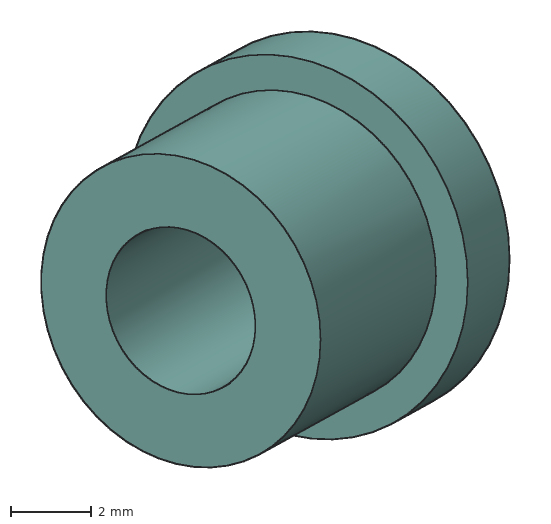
import cadquery as cq

flange_diameter = 10.0
sleeve_diameter = 8.15
bore_diameter = 4.35
total_length = 7.5
flange_thickness = 2.0
sleeve_length = total_length - flange_thickness


def cylinder_along_y(diameter, start_y, length):
    """Solid cylinder running from start_y towards +Y."""
    return cq.Workplane("XZ", origin=(0, start_y, 0)).circle(diameter / 2).extrude(-length)


sleeve_end_y = -total_length / 2
flange_face_y = sleeve_end_y + sleeve_length

sleeve = cylinder_along_y(sleeve_diameter, sleeve_end_y, sleeve_length)
flange = cylinder_along_y(flange_diameter, flange_face_y, flange_thickness)
bore = cylinder_along_y(bore_diameter, sleeve_end_y, total_length)

result = sleeve.union(flange).cut(bore)